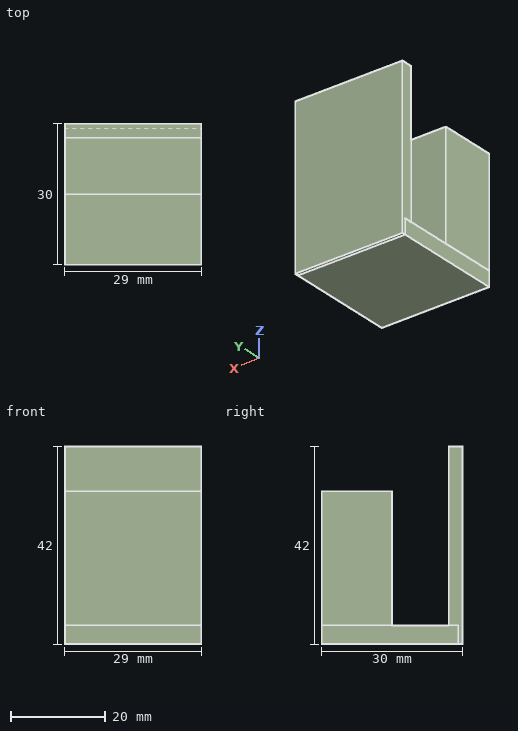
import cadquery as cq

width = 29.0
depth = 30.0
height = 42.0

plate_thickness = 3.0
base_thickness = 4.0
block_depth = 15.0
block_height = 28.5
tongue_length = 2.0


def box_between(y_front, y_back, z_bottom, z_top):
    """Full-width box, centred on X, between the given Y and Z limits."""
    return cq.Workplane("XY").box(
        width, y_back - y_front, z_top - z_bottom, centered=(True, False, False)
    ).translate((0, y_front, z_bottom))


plate_front = depth - plate_thickness
base_back = plate_front + tongue_length


def make_base():
    """Flat base whose rear edge fits the rebate in the back plate."""
    return box_between(0, base_back, 0, base_thickness)


def make_back_plate():
    """Upright plate with a rebate along its lower front edge for the base."""
    plate = box_between(plate_front, depth, 0, height)
    rebate = box_between(plate_front, base_back, 0, base_thickness)
    return plate.cut(rebate)


def make_block():
    """Block standing on the front of the base."""
    return box_between(0, block_depth, base_thickness, base_thickness + block_height)


base = make_base()
back_plate = make_back_plate()
block = make_block()

result = cq.Compound.makeCompound([base.val(), back_plate.val(), block.val()])